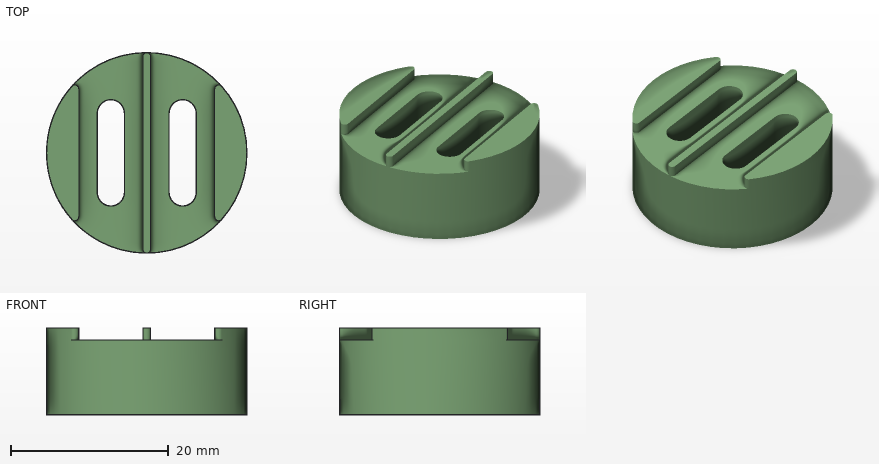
import cadquery as cq

diameter = 25.4
total_height = 11.0
raised_height = 1.5
body_height = total_height - raised_height

rib_width = 1.0
pad_inner_x = 8.6
pad_corner_radius = 0.5

slot_width = 3.4
slot_length = 13.44
slot_offset = 4.55


def disc(height):
    """Full-diameter disc standing on the XY plane."""
    return cq.Workplane("XY").circle(diameter / 2).extrude(height)


def side_pad(side):
    """Raised circular segment with rounded tips; side is -1 or +1 along X."""
    segment_width = diameter / 2 - pad_inner_x
    segment_center_x = side * (pad_inner_x + segment_width / 2)
    segment_box = (
        cq.Workplane("XY")
        .center(segment_center_x, 0)
        .rect(segment_width, diameter)
        .extrude(raised_height)
    )
    pad = disc(raised_height).intersect(segment_box)
    pad = pad.edges("|Z").edges(">Y or <Y").fillet(pad_corner_radius)
    return pad.translate((0, 0, body_height))


def center_rib():
    """Raised rib across the full diameter, with round ends."""
    return (
        cq.Workplane("XY")
        .slot2D(diameter, rib_width, 90)
        .extrude(raised_height)
        .translate((0, 0, body_height))
    )


result = disc(body_height).union(center_rib())
for side in (-1, 1):
    result = result.union(side_pad(side))

slots = (
    cq.Workplane("XY")
    .pushPoints([(-slot_offset, 0), (slot_offset, 0)])
    .slot2D(slot_length, slot_width, 90)
    .extrude(body_height)
)
result = result.cut(slots)